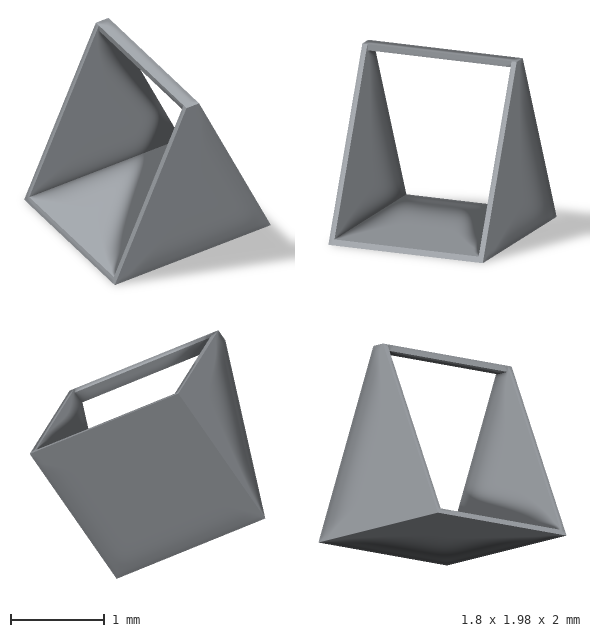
import cadquery as cq

width = 1.8
depth = 1.98
height = 2.0
ridge_depth = 0.16

side_wall = 0.06
floor_thickness = 0.06
ridge_thickness = 0.068

body = (
    cq.Workplane("YZ")
    .polyline([
        (-depth / 2, 0),
        (depth / 2, 0),
        (ridge_depth / 2, height),
        (-ridge_depth / 2, height),
    ])
    .close()
    .extrude(width / 2, both=True)
)

opening_width = width - 2 * side_wall
opening_top = height - ridge_thickness
opening = cq.Workplane("XY").box(
    opening_width,
    depth,
    opening_top - floor_thickness,
    centered=(True, True, False),
).translate((0, 0, floor_thickness))

result = body.cut(opening)

bar_trim = (
    cq.Workplane("XY")
    .box(opening_width, depth / 2, ridge_thickness, centered=(True, False, False))
    .translate((0, ridge_depth / 2, opening_top))
)
result = result.cut(bar_trim).cut(bar_trim.mirror("XZ"))